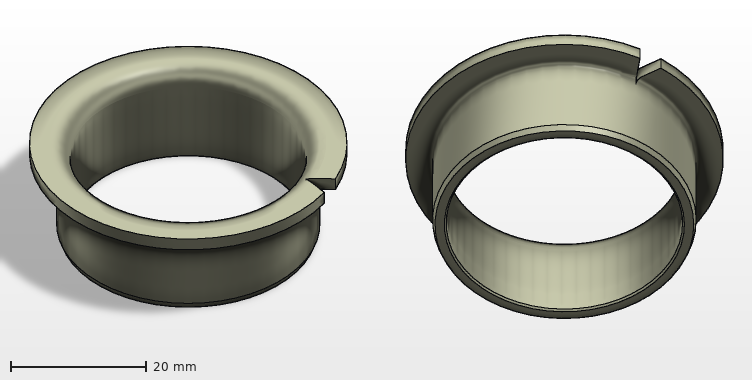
import cadquery as cq
import math

flange_diameter = 46.95
flange_thickness = 2.0
total_height = 16.0
sleeve_diameter = 39.0
wall_thickness = flange_thickness
outer_bend_radius = 1.0
inner_bend_radius = outer_bend_radius + wall_thickness
lead_in_height = 1.0
lead_in_angle = 20.0
bore_chamfer = 0.3

notch_half_angle = 25.0

flange_radius = flange_diameter / 2
sleeve_radius = sleeve_diameter / 2
bore_radius = sleeve_radius - wall_thickness
flange_bottom = total_height - flange_thickness
lead_in_width = lead_in_height * math.tan(math.radians(lead_in_angle))

bend_center_radius = sleeve_radius + outer_bend_radius
bend_center_height = flange_bottom - outer_bend_radius


def bend_midpoint(radius):
    """Point halfway along a bend, in (radius, height)."""
    offset = radius * math.sqrt(0.5)
    return (bend_center_radius - offset, bend_center_height + offset)


def bushing_body():
    """Sleeve and flange revolved from one wall section."""
    return (
        cq.Workplane("XZ")
        .moveTo(bore_radius, bore_chamfer)
        .lineTo(bore_radius + bore_chamfer, 0)
        .lineTo(sleeve_radius - lead_in_width, 0)
        .lineTo(sleeve_radius, lead_in_height)
        .lineTo(sleeve_radius, bend_center_height)
        .threePointArc(bend_midpoint(outer_bend_radius), (bend_center_radius, flange_bottom))
        .lineTo(flange_radius, flange_bottom)
        .lineTo(flange_radius, total_height)
        .lineTo(bend_center_radius, total_height)
        .threePointArc(bend_midpoint(inner_bend_radius), (bore_radius, bend_center_height))
        .close()
        .revolve(360, (0, 0, 0), (0, 1, 0))
    )


def flange_notch():
    """Triangular cutter with its tip at the sleeve's outer radius."""
    notch_end = flange_radius + flange_thickness
    half_width = (notch_end - sleeve_radius) * math.tan(math.radians(notch_half_angle))
    return (
        cq.Workplane("XY")
        .workplane(offset=bend_center_height)
        .moveTo(sleeve_radius, 0)
        .lineTo(notch_end, -half_width)
        .lineTo(notch_end, half_width)
        .close()
        .extrude(total_height - bend_center_height)
    )


result = bushing_body().cut(flange_notch())